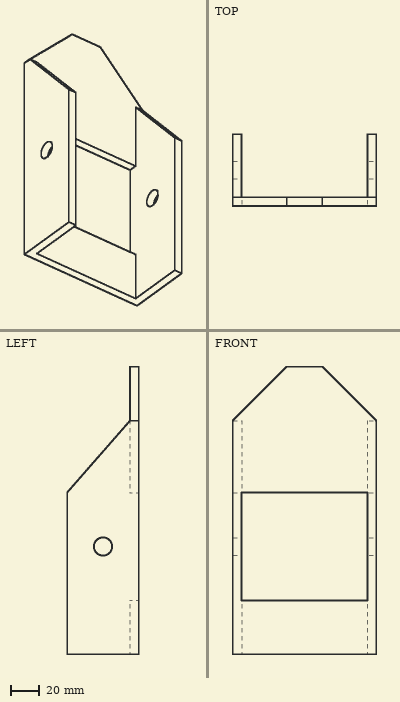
import cadquery as cq

height = 203.2
width = height / 2
depth = height / 4
module = height / 16
thickness = module / 2

shoulder_height = 13 * module
top_flat = 2 * module
window_bottom = 3 * module
window_height = 6 * module
window_width = width - 2 * thickness

wall_back_height = 9 * module
hole_diameter = module
hole_height = 6 * module


def make_front_plate():
    """Upright plate with a tapered top and a rectangular window."""
    plate = (
        cq.Workplane("XZ")
        .moveTo(-width / 2, 0)
        .lineTo(width / 2, 0)
        .lineTo(width / 2, shoulder_height)
        .lineTo(top_flat / 2, height)
        .lineTo(-top_flat / 2, height)
        .lineTo(-width / 2, shoulder_height)
        .close()
        .extrude(-thickness)
    )
    window = (
        cq.Workplane("XZ")
        .center(0, window_bottom + window_height / 2)
        .rect(window_width, window_height)
        .extrude(-thickness)
    )
    return plate.cut(window)


def make_side_wall(left_x):
    """Wall with a sloping top edge and a cross hole, starting at left_x."""
    wall = (
        cq.Workplane("YZ", origin=(left_x, 0, 0))
        .lineTo(depth, 0)
        .lineTo(depth, wall_back_height)
        .lineTo(thickness, shoulder_height)
        .lineTo(0, shoulder_height)
        .close()
        .extrude(thickness)
    )
    hole = (
        cq.Workplane("YZ", origin=(left_x, 0, 0))
        .center(depth / 2, hole_height)
        .circle(hole_diameter / 2)
        .extrude(thickness)
    )
    return wall.cut(hole)


result = make_front_plate()
for wall_x in (-width / 2, width / 2 - thickness):
    result = result.union(make_side_wall(wall_x))